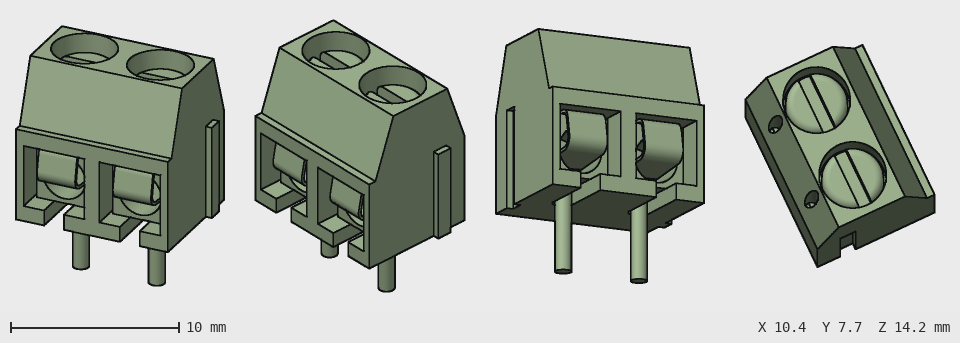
import cadquery as cq
import math


pole_pitch = 5.0
pole_count = 2
body_length = pole_pitch * pole_count
body_depth = 7.7
body_height = 10.0
shoulder_height = 6.0
front_ledge = 0.5
top_front_y = 1.95
top_back_y = 6.3

rib_front_y = 5.2
rib_width = 1.0
rib_depth = 0.4

chamber_width = 4.0
chamber_floor = 1.0
chamber_height = 4.0
chamber_depth = 6.9
chamber_top = chamber_floor + chamber_height

cage_width = 3.6
cage_front_y = 1.4
cage_top = 4.8
wire_hole_diameter = 2.8
wire_hole_z = 2.7
wire_hole_depth = 3.0

leaf_width = 2.5
leaf_thickness = chamber_top - cage_top
leaf_back_y = 5.2
leaf_tilt = 11.0
leaf_straight_top = (0.51, 4.42)
leaf_straight_drop = 1.1
leaf_toe_angle = 85.0
leaf_bottom_radius = 0.72
leaf_toe_length = 2.9

screw_y = 4.2
screw_well_diameter = 4.0
screw_well_floor = 7.5
screw_head_diameter = 3.7
screw_head_top = 9.0
screw_head_fillet = 0.5
driver_slot_width = 0.8
driver_slot_depth = 1.0

pin_diameter = 1.0
pin_y = 3.7
pin_length = 4.2
pin_slot_width = 1.3

test_hole_diameter = 0.8
test_hole_y = chamber_depth

pole_positions = [(i - (pole_count - 1) / 2) * pole_pitch for i in range(pole_count)]


def block(x_center, width, y_front, y_back, z_bottom, z_top):
    """Box centred on x_center, spanning the given Y and Z limits."""
    box = cq.Workplane("XY").box(width, y_back - y_front, z_top - z_bottom, centered=(True, False, False))
    return box.translate((x_center, y_front, z_bottom))


def upright_cylinder(x, y, diameter, z_bottom, z_top):
    """Cylinder along Z between two heights."""
    base = cq.Workplane("XY", origin=(x, y, z_bottom))
    return base.circle(diameter / 2).extrude(z_top - z_bottom)


def housing_blank():
    """Extruded housing with a rib on the +X end and a matching groove on the -X end."""
    profile = [
        (0, 0),
        (body_depth, 0),
        (body_depth, shoulder_height),
        (top_back_y, body_height),
        (top_front_y, body_height),
        (front_ledge, shoulder_height),
        (0, shoulder_height),
    ]
    blank = cq.Workplane("YZ", origin=(-body_length / 2, 0, 0)).polyline(profile).close().extrude(body_length)
    rib_back_y = rib_front_y + rib_width
    rib_x = (body_length + rib_depth) / 2
    groove_x = (rib_depth - body_length) / 2
    rib = block(rib_x, rib_depth, rib_front_y, rib_back_y, 0, shoulder_height)
    groove = block(groove_x, rib_depth, rib_front_y, rib_back_y, 0, shoulder_height)
    return blank.union(rib).cut(groove)


def pole_openings(x):
    """Everything removed from the housing at one pole."""
    chamber = block(x, chamber_width, 0, chamber_depth, chamber_floor, chamber_top)
    slot = block(x, pin_slot_width, 0, pin_y, 0, chamber_floor)
    slot_end = upright_cylinder(x, pin_y, pin_slot_width, 0, chamber_floor)
    screw_well = upright_cylinder(x, screw_y, screw_well_diameter, screw_well_floor, body_height)
    test_hole = upright_cylinder(x, test_hole_y, test_hole_diameter, chamber_top, body_height)
    return chamber.union(slot).union(slot_end).union(screw_well).union(test_hole)


def wire_cage(x):
    """Cage block with a blind round wire hole in its front face."""
    cage = block(x, cage_width, cage_front_y, chamber_depth, chamber_floor, cage_top)
    wire_hole = (
        cq.Workplane("XZ", origin=(x, cage_front_y, wire_hole_z))
        .circle(wire_hole_diameter / 2)
        .extrude(-wire_hole_depth)
    )
    return cage.cut(wire_hole)


def arc_point(center, radius, elevation):
    """Point in the YZ plane on an arc, with elevation in degrees above the -Y direction."""
    angle = math.radians(elevation)
    return (center[0] - radius * math.cos(angle), center[1] + radius * math.sin(angle))


def spring_leaf(x):
    """Bent strip: flat over the cage, curved down, straight, then curled back in a toe."""
    tilt = math.radians(leaf_tilt)
    toe = math.radians(leaf_toe_angle)
    start_y, start_z = leaf_straight_top
    top_radius = (chamber_top - start_z) / (1 - math.sin(tilt))
    top_center = (start_y + top_radius * math.cos(tilt), chamber_top - top_radius)
    bottom_start_y = start_y - leaf_straight_drop * math.tan(tilt)
    bottom_start_z = start_z - leaf_straight_drop
    bottom_center = (
        bottom_start_y + leaf_bottom_radius * math.cos(tilt),
        bottom_start_z - leaf_bottom_radius * math.sin(tilt),
    )
    top_inner = top_radius - leaf_thickness
    bottom_inner = leaf_bottom_radius - leaf_thickness
    top_middle = (90 + leaf_tilt) / 2
    bottom_middle = (leaf_tilt - leaf_toe_angle) / 2
    outer_toe = arc_point(bottom_center, leaf_bottom_radius, -leaf_toe_angle)
    inner_toe = arc_point(bottom_center, bottom_inner, -leaf_toe_angle)
    toe_y = leaf_toe_length * math.sin(toe)
    toe_z = -leaf_toe_length * math.cos(toe)
    profile = (
        cq.Workplane("YZ", origin=(x - leaf_width / 2, 0, 0))
        .moveTo(leaf_back_y, chamber_top)
        .lineTo(top_center[0], chamber_top)
        .threePointArc(arc_point(top_center, top_radius, top_middle), leaf_straight_top)
        .lineTo(bottom_start_y, bottom_start_z)
        .threePointArc(arc_point(bottom_center, leaf_bottom_radius, bottom_middle), outer_toe)
        .lineTo(outer_toe[0] + toe_y, outer_toe[1] + toe_z)
        .lineTo(inner_toe[0] + toe_y, inner_toe[1] + toe_z)
        .lineTo(*inner_toe)
        .threePointArc(
            arc_point(bottom_center, bottom_inner, bottom_middle),
            arc_point(bottom_center, bottom_inner, leaf_tilt),
        )
        .lineTo(*arc_point(top_center, top_inner, leaf_tilt))
        .threePointArc(arc_point(top_center, top_inner, top_middle), (top_center[0], cage_top))
        .lineTo(leaf_back_y, cage_top)
        .close()
    )
    return profile.extrude(leaf_width)


def clamping_screw(x):
    """Slotted screw head with a rounded rim, seated on the floor of its well."""
    head = upright_cylinder(x, screw_y, screw_head_diameter, screw_well_floor, screw_head_top)
    head = head.faces(">Z").edges().fillet(screw_head_fillet)
    slot = block(
        x,
        screw_head_diameter,
        screw_y - driver_slot_width / 2,
        screw_y + driver_slot_width / 2,
        screw_head_top - driver_slot_depth,
        screw_head_top,
    )
    return head.cut(slot)


def solder_pin(x):
    """Round pin hanging from the underside of the cage."""
    return upright_cylinder(x, pin_y, pin_diameter, -pin_length, chamber_floor)


result = housing_blank()
for pole_x in pole_positions:
    result = result.cut(pole_openings(pole_x))
    for make_component in (wire_cage, spring_leaf, clamping_screw, solder_pin):
        result = result.union(make_component(pole_x))